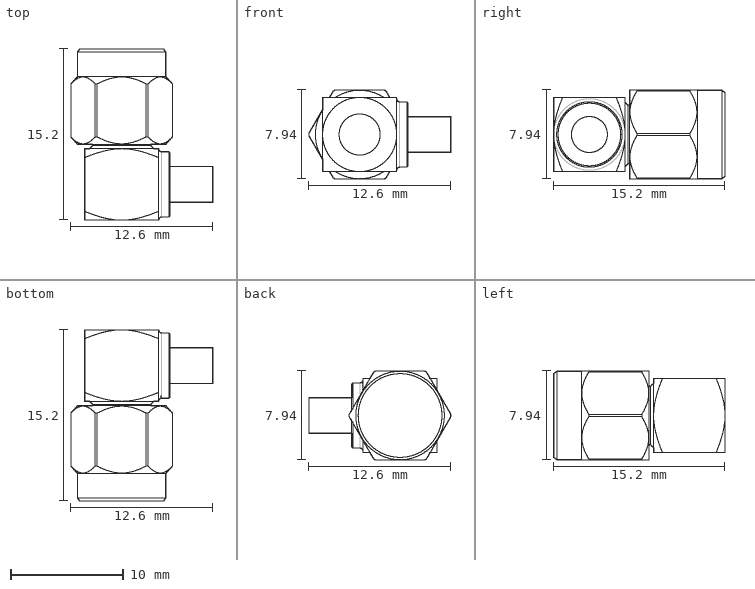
import cadquery as cq
import math


overall_length = 15.24

block_side = 6.6
block_length = 6.35
block_end_angle = 30
block_middle = block_length / 2
block_face = block_side / 2

collar_diameter = 5.82
collar_fillet = (block_length - collar_diameter) / 2
collar_end = 4.31
collar_chamfer = 0.12
tube_diameter = 3.2
tube_end = 8.12

hex_across_flats = 7.94
hex_corner_diameter = 9.05
hex_length = 6.02
hex_end_angle = 48
sleeve_diameter = 7.88
sleeve_length = 2.47
sleeve_chamfer_length = 0.27
sleeve_chamfer_depth = 0.21
nut_length = hex_length + sleeve_length
nut_start = overall_length - nut_length

neck_diameter = 5.21
neck_taper = collar_fillet

plug_diameter = 3.65
plug_depth = 0.61


def disc(diameter, start, length):
    """Cylinder on the Y axis that runs from y = start towards +Y."""
    return cq.Workplane("XZ", origin=(0, start, 0)).circle(diameter / 2).extrude(-length)


def turn_about_y(profile):
    """Solid of revolution about the Y axis from (radius, y) points."""
    return cq.Workplane("XY").polyline(profile).close().revolve(360, (0, 0, 0), (0, 1, 0))


def turned_blank(corner_diameter, end_diameter, end_angle, start, length):
    """Cylinder on the Y axis with both ends coned down to end_diameter."""
    corner_radius = corner_diameter / 2
    end_radius = end_diameter / 2
    cone = (corner_radius - end_radius) * math.tan(math.radians(end_angle))
    end = start + length
    return turn_about_y(
        [
            (0, start),
            (end_radius, start),
            (corner_radius, start + cone),
            (corner_radius, end - cone),
            (end_radius, end),
            (0, end),
        ]
    )


def make_plug():
    """Flat disc that sits flush in the front face of the block."""
    return disc(plug_diameter, 0, plug_depth)


def make_block():
    """Square bar with coned ends, recessed for the plug."""
    bar = cq.Workplane("XY").box(block_side, block_length, block_side)
    bar = bar.translate((0, block_middle, 0))
    corner_diameter = block_side * math.sqrt(2)
    blank = turned_blank(corner_diameter, block_side, block_end_angle, 0, block_length)
    return bar.intersect(blank).cut(make_plug())


def make_cable_side():
    """Collar filleted into the block face, and the cable tube, turned about one X-direction axis."""
    collar_radius = collar_diameter / 2
    tube_radius = tube_diameter / 2
    profile = (
        cq.Workplane("XY")
        .moveTo(block_face, 0)
        .lineTo(block_face, collar_radius + collar_fillet)
        .radiusArc((block_face + collar_fillet, collar_radius), -collar_fillet)
        .lineTo(collar_end - collar_chamfer, collar_radius)
        .lineTo(collar_end, collar_radius - collar_chamfer)
        .lineTo(collar_end, tube_radius)
        .lineTo(tube_end, tube_radius)
        .lineTo(tube_end, 0)
        .close()
    )
    turned = profile.revolve(360, (0, 0, 0), (1, 0, 0))
    return turned.translate((0, block_middle, 0))


def make_neck():
    """Short round neck that flares out where it meets the block."""
    neck_radius = neck_diameter / 2
    return turn_about_y(
        [
            (0, block_length),
            (neck_radius + neck_taper, block_length),
            (neck_radius, block_length + neck_taper),
            (neck_radius, nut_start),
            (0, nut_start),
        ]
    )


def make_elbow():
    """Block, cable side and neck as one solid."""
    return make_block().union(make_cable_side()).union(make_neck())


def make_nut():
    """Hexagon with turned corners and coned ends, plus a round sleeve chamfered at its free end."""
    hex_across_corners = hex_across_flats / math.cos(math.pi / 6)
    hexagon = (
        cq.Workplane("XZ", origin=(0, nut_start, 0))
        .polygon(6, hex_across_corners)
        .extrude(-hex_length)
    )
    blank = turned_blank(hex_corner_diameter, sleeve_diameter, hex_end_angle, nut_start, hex_length)
    sleeve = disc(sleeve_diameter, nut_start, nut_length)
    sleeve = sleeve.faces(">Y").chamfer(sleeve_chamfer_length, sleeve_chamfer_depth)
    return hexagon.intersect(blank).union(sleeve)


elbow = make_elbow()
nut = make_nut()
plug = make_plug()

result = cq.Compound.makeCompound([elbow.solids().val(), nut.solids().val(), plug.val()])